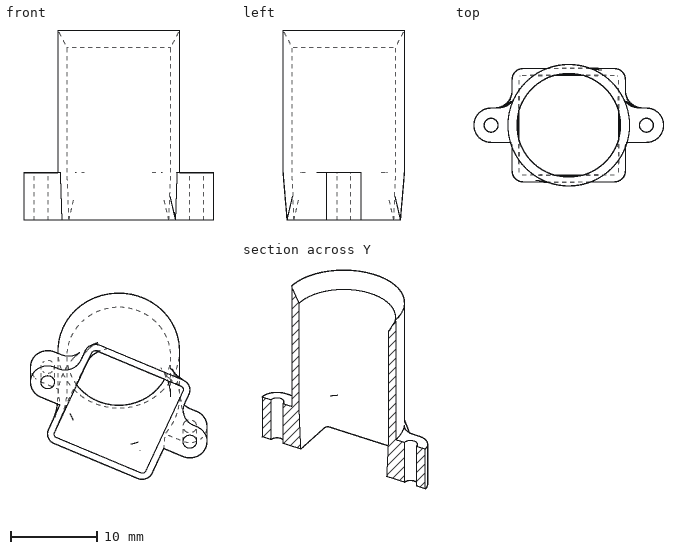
import cadquery as cq
import math

total_height = 22
tube_diameter = 14.1
tube_radius = tube_diameter / 2
bore_radius = 6.0
rim_bevel_depth = 2.0

base_height = 5.5
base_side = 13.15
base_corner_radius = 1.3
opening_side = 11.57
opening_corner_radius = 0.45
apex_half_angle = 0.5

ear_radius = 2.0
overall_length = 22
ear_centre_x = overall_length / 2 - ear_radius
ear_hole_radius = 0.8
ear_fillet_radius = 2.0


def polar(radius, degrees, centre=(0, 0)):
    angle = math.radians(degrees)
    return (centre[0] + radius * math.cos(angle), centre[1] + radius * math.sin(angle))


def rounded_square_to_circle(side, corner_radius, circle_radius):
    """Loft a rounded square at the bottom to a circle, corners narrowing upward."""
    corner_offset = side / 2 - corner_radius
    lower = cq.Workplane("XY").moveTo(side / 2, -corner_offset)
    upper = cq.Workplane("XY", origin=(0, 0, base_height))
    upper = upper.moveTo(*polar(circle_radius, -45 + apex_half_angle))
    for facing in (0, 90, 180, 270):
        diagonal = facing + 45
        corner = polar(corner_offset * math.sqrt(2), diagonal)
        lower = lower.lineTo(*polar(corner_radius, facing, corner))
        lower = lower.threePointArc(
            polar(corner_radius, diagonal, corner),
            polar(corner_radius, facing + 90, corner),
        )
        upper = upper.threePointArc(
            polar(circle_radius, facing), polar(circle_radius, diagonal - apex_half_angle)
        )
        upper = upper.threePointArc(
            polar(circle_radius, diagonal), polar(circle_radius, diagonal + apex_half_angle)
        )
    lower_wire = lower.close().val()
    upper_wire = upper.wire().val()
    return cq.Workplane(cq.Solid.makeLoft([lower_wire, upper_wire], True))


def make_ears():
    """One bar with rounded ends, passing through the base to form both ears."""
    return cq.Workplane("XY").slot2D(overall_length, 2 * ear_radius).extrude(base_height)


body = rounded_square_to_circle(base_side, base_corner_radius, tube_radius).union(make_ears())
pick_margin = 0.02
ear_root_edges = cq.selectors.BoxSelector(
    (-tube_radius, ear_radius - pick_margin, 0.1 * base_height),
    (tube_radius, ear_radius + pick_margin, 0.9 * base_height),
)
body = body.edges(ear_root_edges).fillet(ear_fillet_radius)

tube_height = total_height - base_height
tube = cq.Workplane("XY", origin=(0, 0, base_height)).circle(tube_radius).extrude(tube_height)
body = body.union(tube)

opening = rounded_square_to_circle(opening_side, opening_corner_radius, bore_radius)
bore = cq.Workplane("XY", origin=(0, 0, base_height)).circle(bore_radius).extrude(tube_height)
rim_bevel = cq.Workplane(
    cq.Solid.makeCone(
        bore_radius, tube_radius, rim_bevel_depth, cq.Vector(0, 0, total_height - rim_bevel_depth)
    )
)
ear_holes = (
    cq.Workplane("XY")
    .pushPoints([(-ear_centre_x, 0), (ear_centre_x, 0)])
    .circle(ear_hole_radius)
    .extrude(base_height)
)

result = body.cut(opening).cut(bore).cut(rim_bevel).cut(ear_holes)